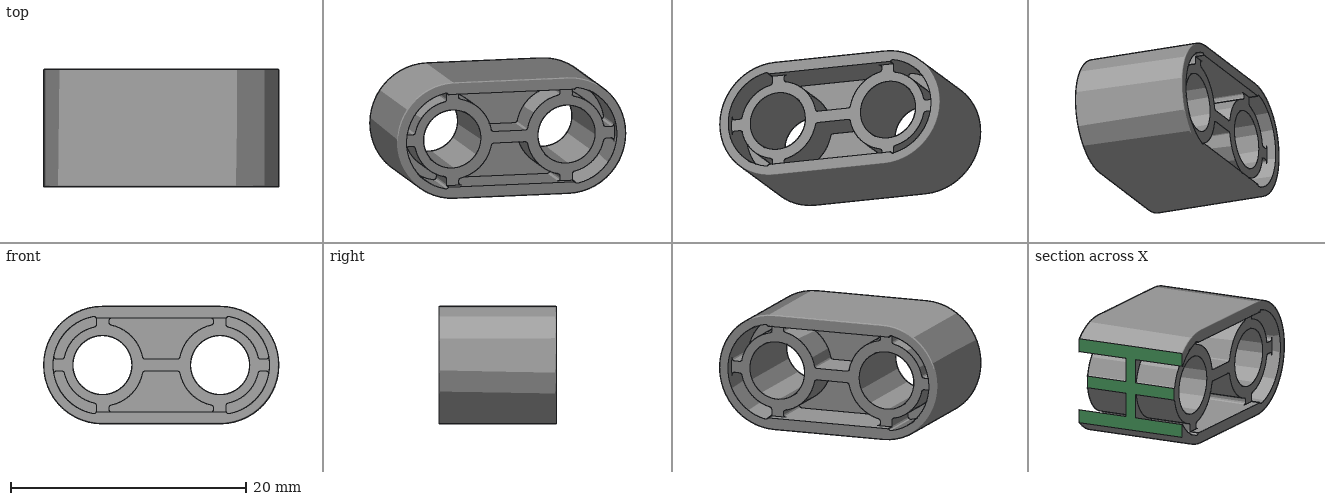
import cadquery as cq

length = 20.0
height = 10.0
depth = 10.0
bore_diameter = 5.0
rim_edge_radius = 0.1

end_cavity_radius = 4.2
flat_cavity_half_height = 4.0
inner_bushing_radius = 3.48
outer_bushing_radius = 3.3
rib_thickness = 1.0
center_pocket_offset = 0.55
bushing_recess = 0.8
floor_thickness = 1.0
pocket_corner_radius = 0.25

bore_spacing = length - height
bore_positions = (-bore_spacing / 2, bore_spacing / 2)
half_rib = rib_thickness / 2
pocket_depth = (depth - floor_thickness) / 2



def box(x_min, x_max, z_min, z_max, y_depth):
    """Block between the given X and Z limits."""
    block = cq.Workplane("XY").box(x_max - x_min, y_depth, z_max - z_min, centered=False)
    return block.translate((x_min, 0, z_min))


def cylinder(x_center, radius, y_depth):
    """Round bar along Y."""
    return cq.Workplane("XZ").center(x_center, 0).circle(radius).extrude(-y_depth)


def outer_body():
    """Solid beam with rounded rim edges and the two through bores."""
    beam = cq.Workplane("XZ").slot2D(length, height).extrude(-depth)
    beam = beam.faces("<Y or >Y").fillet(rim_edge_radius)
    for x_center in bore_positions:
        beam = beam.cut(cylinder(x_center, bore_diameter / 2, depth))
    return beam


def center_pocket():
    """Upper pocket between the two bushings, above the middle web."""
    x_limit = bore_spacing / 2 - center_pocket_offset
    pocket = box(-x_limit, x_limit, half_rib, flat_cavity_half_height, pocket_depth)
    for x_center in bore_positions:
        pocket = pocket.cut(cylinder(x_center, inner_bushing_radius, pocket_depth))
    return pocket.edges("|Y").fillet(pocket_corner_radius)


def end_pocket():
    """Upper curved pocket around the outer side of the left bushing."""
    x_center = bore_positions[0]
    bushing = cylinder(x_center, outer_bushing_radius, pocket_depth)
    ring = cylinder(x_center, end_cavity_radius, pocket_depth).cut(bushing)
    quarter = box(-length / 2, x_center - half_rib, half_rib, height / 2, pocket_depth)
    return ring.intersect(quarter).edges("|Y").fillet(pocket_corner_radius)


def recess():
    """Shallow space in front of the bushings, ribs and web."""
    x_limit = bore_spacing / 2 + half_rib
    z_limit = flat_cavity_half_height
    space = box(-x_limit, x_limit, -z_limit, z_limit, bushing_recess)
    end_band = box(-length / 2, length / 2, -rib_thickness, rib_thickness, bushing_recess)
    for x_center in bore_positions:
        end = cylinder(x_center, end_cavity_radius, bushing_recess).intersect(end_band)
        space = space.union(cylinder(x_center, flat_cavity_half_height, bushing_recess))
        space = space.union(end)
    return space


def with_mirror(shape, mirror_plane):
    """The shape together with its mirror image."""
    return shape.union(shape.mirror(mirror_plane))


end_pockets = with_mirror(end_pocket(), "YZ")
pockets = with_mirror(end_pockets.union(center_pocket()), "XY")

to_front_face = (0, -depth / 2, 0)
front_cavity = recess().union(pockets).translate(to_front_face)
body = outer_body().translate(to_front_face)
result = body.cut(front_cavity).cut(front_cavity.mirror("XZ"))